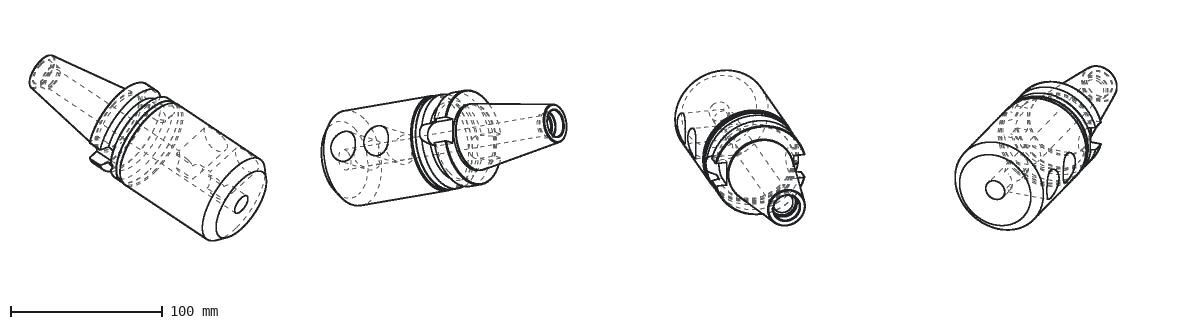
import cadquery as cq

length = 173.4
body_dia = 63.5

gauge_dia = 44.4
taper_length = 65.2
taper_ratio = 7 / 24
tip_chamfer = 0.5
relief_start = 65.7
relief_dia = 44.0

flange_start = 67.5
flange_dia = 63.0
flange_chamfer = 0.5
groove_start = 77.0
groove_floor_start = 79.5
groove_floor_end = 84.0
groove_end = 86.7
groove_floor_dia = 52.4

neck_start = 91.7
neck_end = 94.6
neck_dia = 62.0
neck_chamfer = (body_dia - neck_dia) / 2

nose_length = 6.6
nose_dia = 51.1

slot_width = 16.1
slot_floor = 22.7
slot_end = 88.2

bore_dia = 13.5
pilot_dia = 17.7
pilot_depth = 6.5
thread_dia = 17.0
pilot_step = (pilot_dia - thread_dia) / 2
thread_depth = 9.0
bore_chamfer = 0.5

screw_dia = 20.1
screw_positions = (123.8, 150.8)


def revolve_about_x(points):
    """Revolve a closed outline of (x, radius) points about the X axis."""
    outline = cq.Workplane("XY").polyline(points).close()
    return outline.revolve(360, (0, 0, 0), (1, 0, 0))


def make_holder():
    tip_radius = (gauge_dia - taper_ratio * taper_length) / 2
    chamfer_radius = tip_radius + tip_chamfer * taper_ratio / 2
    return revolve_about_x([
        (0, 0),
        (0, chamfer_radius - tip_chamfer),
        (tip_chamfer, chamfer_radius),
        (taper_length, gauge_dia / 2),
        (relief_start, relief_dia / 2),
        (flange_start, relief_dia / 2),
        (flange_start, flange_dia / 2 - flange_chamfer),
        (flange_start + flange_chamfer, flange_dia / 2),
        (groove_start, flange_dia / 2),
        (groove_floor_start, groove_floor_dia / 2),
        (groove_floor_end, groove_floor_dia / 2),
        (groove_end, flange_dia / 2),
        (neck_start, flange_dia / 2),
        (neck_start, neck_dia / 2),
        (neck_end, neck_dia / 2),
        (neck_end + neck_chamfer, body_dia / 2),
        (length - nose_length, body_dia / 2),
        (length, nose_dia / 2),
        (length, 0),
    ])


def make_bore():
    return revolve_about_x([
        (0, 0),
        (0, pilot_dia / 2 + bore_chamfer),
        (bore_chamfer, pilot_dia / 2),
        (pilot_depth, pilot_dia / 2),
        (pilot_depth + pilot_step, thread_dia / 2),
        (thread_depth, thread_dia / 2),
        (thread_depth, bore_dia / 2),
        (length, bore_dia / 2),
        (length, 0),
    ])


def make_drive_slot(side):
    """Round-ended slot, open towards the taper; side is +1 or -1 along Y."""
    round_center = slot_end - slot_width / 2
    outline = (
        cq.Workplane("XZ", origin=(0, side * slot_floor, 0))
        .moveTo(taper_length, -slot_width / 2)
        .lineTo(round_center, -slot_width / 2)
        .threePointArc((slot_end, 0), (round_center, slot_width / 2))
        .lineTo(taper_length, slot_width / 2)
        .close()
    )
    return outline.extrude(-side * body_dia / 2)


def make_screw_holes():
    """Radial holes from the +Y side down to the axis, inside the bore."""
    return (
        cq.Workplane("XZ")
        .pushPoints([(x, 0) for x in screw_positions])
        .circle(screw_dia / 2)
        .extrude(-body_dia / 2)
    )


result = make_holder().cut(make_bore())
for slot_side in (-1, 1):
    result = result.cut(make_drive_slot(slot_side))
result = result.cut(make_screw_holes())